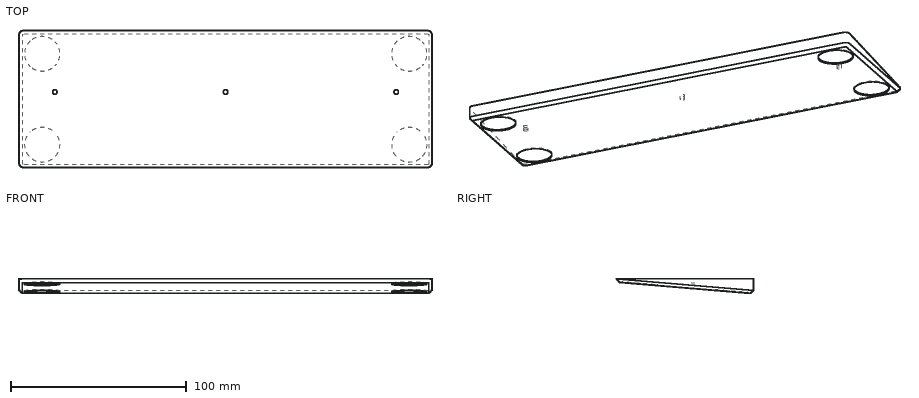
import cadquery as cq
import math

length = 235.0
width = 78.0
height = 8.5
corner_radius = 2.8
bevel = 1.9
slope_angle = 4.8

hole_diameter = 2.5
hole_depth = 2.4
hole_spacing = 97.0
hole_y = 4.0

foot_diameter = 20.0
foot_inset = 13.2
foot_depth = 0.7

slope = math.tan(math.radians(slope_angle))
lowest_y = width / 2 - bevel


def underside_z(y):
    """Height of the sloping underside at y."""
    return -height + slope * (lowest_y - y)


def make_wedge():
    """Rounded plate with a sloping, bevelled underside."""
    profile = [
        (-width / 2, 0),
        (width / 2, 0),
        (width / 2, underside_z(width / 2)),
        (-width / 2, underside_z(-width / 2)),
    ]
    wedge = cq.Workplane("YZ").polyline(profile).close().extrude(length / 2, both=True)
    return wedge.edges("|Z").fillet(corner_radius).faces("<Z").chamfer(bevel)


def make_top_holes():
    """Row of blind holes along the top."""
    places = [(side * hole_spacing, hole_y) for side in (-1, 0, 1)]
    return cq.Workplane("XY").pushPoints(places).circle(hole_diameter / 2).extrude(-hole_depth)


def make_foot_recess(x, y):
    """Shallow disc sunk into the underside, square to its slope."""
    underside = cq.Plane(
        origin=(x, y, underside_z(y)),
        xDir=(1, 0, 0),
        normal=(0, slope, 1),
    )
    return cq.Workplane(underside).circle(foot_diameter / 2).extrude(foot_depth)


result = make_wedge().cut(make_top_holes())
for side_x in (-1, 1):
    for side_y in (-1, 1):
        foot_x = side_x * (length / 2 - foot_inset)
        foot_y = side_y * (width / 2 - foot_inset)
        result = result.cut(make_foot_recess(foot_x, foot_y))